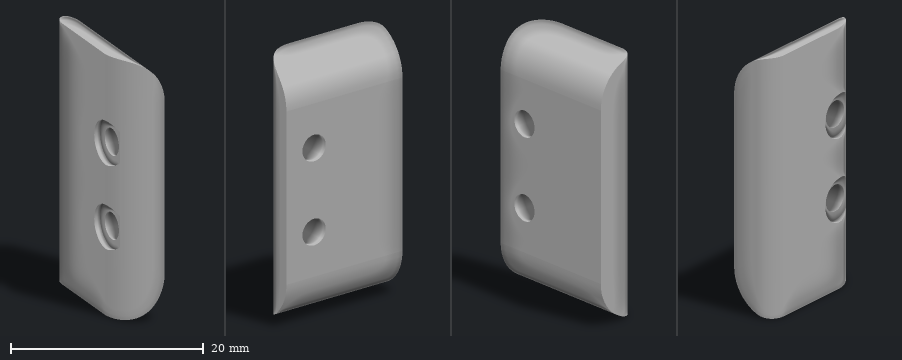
import cadquery as cq

width = 15.0
thickness = 5.0
length = 29.5

left_edge_radius = 2.0
right_edge_radius = 4.07

end_radius = 4.95

hole_diameter = 3.0
counterbore_diameter = 5.0
counterbore_depth = 0.7
hole_inset_from_right = 3.57
hole_spacing = 9.5

front_y = -thickness / 2
hole_x = width / 2 - hole_inset_from_right


def make_body():
    """Block with two rounded front edges and two rounded ends at the back."""
    block = cq.Workplane("XY").box(width, thickness, length)
    rounded_ends = block.edges("|X and >Y").fillet(end_radius)

    edge_profile = cq.Workplane("XY").box(width, thickness, length)
    edge_profile = edge_profile.edges("|Z and <Y and <X").fillet(left_edge_radius)
    edge_profile = edge_profile.edges("|Z and <Y and >X").fillet(right_edge_radius)
    return rounded_ends.intersect(edge_profile)


def cylinder_from_front(diameter, depth, hole_z):
    """Cylinder that starts on the front face plane and runs toward +Y."""
    return cq.Workplane(
        cq.Solid.makeCylinder(
            diameter / 2, depth, cq.Vector(hole_x, front_y, hole_z), cq.Vector(0, 1, 0)
        )
    )


result = make_body()
for hole_z in (-hole_spacing / 2, hole_spacing / 2):
    result = result.cut(cylinder_from_front(hole_diameter, thickness, hole_z))
    result = result.cut(cylinder_from_front(counterbore_diameter, counterbore_depth, hole_z))